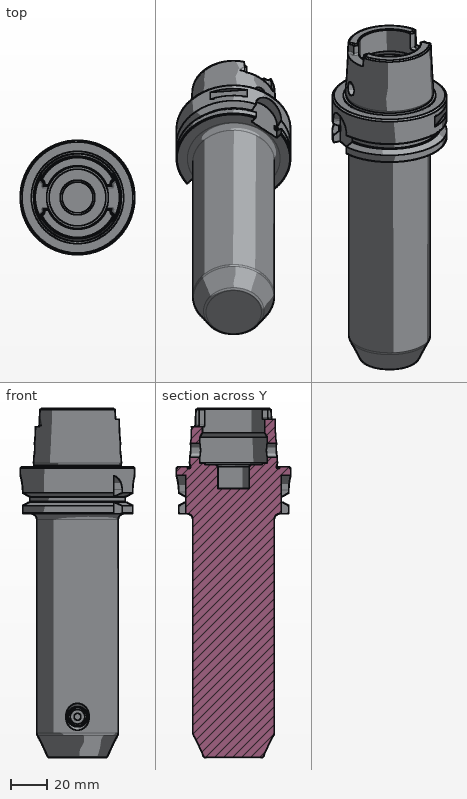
import cadquery as cq
import math

SHANK_TOP = 32.0
NOSE_END = -160.0
FLANGE_RADIUS = 31.5
FLANGE_BOTTOM = -26.0
BODY_RADIUS = 22.5
BODY_FILLET = 3.0

TAPER_RADIUS = 24.0
TAPER_GAUGE_HEIGHT = 6.3
TAPER_RATIO = 9.98
TAPER_START = 2.0
RELIEF_RADIUS = 24.0
RELIEF_TOP = 0.6
RELIEF_DEPTH = 1.0
FACE_GROOVE_RADIUS = 25.4
RIM_CHAMFER = 0.8
FLANGE_TOP_CHAMFER = 1.0
FLANGE_CHAMFER = 0.5

GROOVE_RADIUS = 27.25
GROOVE_CENTRE = -18.0
GROOVE_WIDTH = 7.0
GROOVE_FLANK_ANGLE = 30.0
GROOVE_FLANK_DEPTH = 3.5
GROOVE_FILLET = 0.3

NOSE_START = -146.9
NOSE_RADIUS = 16.2
NOSE_CORNER_FILLET = 1.5
NOSE_SHOULDER_FILLET = 3.0

BORE_RADIUS = 17.0
BORE_CHAMFER = 0.5
BORE_LIP_BOTTOM = 18.6
CHAMBER_RADIUS = 18.5
CHAMBER_FLARE = 30.0
CHAMBER_BOTTOM = 2.0
FLOOR_STEP_RADIUS = 15.6
FLOOR_STEP_DEPTH = 1.0
COOLANT_RADIUS = 8.5
COOLANT_CHAMFER = 1.1
COOLANT_BOTTOM = -12.0

KEYWAY_WIDTH = 12.5
KEYWAY_CORNER = 2.3
KEYWAY_LAND = 23.0
KEYWAY_LAND_LENGTH = 5.0
KEYWAY_FILLET = 1.0
KEYWAY_CHAMFER = 0.8
KEYWAY_CHAMFER_ANGLE = 45.0
LEFT_KEYWAY_FLOOR = 22.0
RIGHT_KEYWAY_FLOOR = 26.0

CROSS_HOLE_DIAMETER = 7.5
CROSS_HOLE_HEIGHT = 9.0

SLOT_TOP = -4.8
SLOT_FLOOR = 26.3
LEFT_SLOT_WIDTH = 18.0
RIGHT_SLOT_WIDTH = 16.0

NOTCH_CORNER = 19.8
NOTCH_RUNOUT_RADIUS = 8.3
NOTCH_RUNOUT_HEIGHT = -12.4
LABEL_ANGLE = 135.0
LABEL_FLAT_DISTANCE = 29.8
LABEL_TOP = -4.0
LABEL_BOTTOM = -10.0

SCREW_HEIGHT = -137.5
SCREW_HOLE_RADIUS = 7.4
SCREW_HOLE_CHAMFER = 1.8
SCREW_FACE_RADIUS = 5.0
SCREW_EDGE_CHAMFER = 0.6
SOCKET_RADIUS = 4.0
SOCKET_FLOOR_RADIUS = 1.9
SOCKET_DEPTH = 0.8

CLEARANCE = 10.0
MARGIN = 1.0


def taper_radius(height):
    """Shank radius at a height; TAPER_RATIO is the length per unit of diameter lost."""
    return TAPER_RADIUS - (height - TAPER_GAUGE_HEIGHT) / (2 * TAPER_RATIO)


def make_gripper_groove():
    """Ring cutter with sloping flanks above a narrow channel with rounded floor corners."""
    half_width = GROOVE_WIDTH / 2
    step_radius = FLANGE_RADIUS - GROOVE_FLANK_DEPTH
    half_floor = half_width - GROOVE_FLANK_DEPTH * math.tan(math.radians(GROOVE_FLANK_ANGLE))
    outer = FLANGE_RADIUS + CLEARANCE
    ring = (
        cq.Workplane("XZ", origin=(0, 0, GROOVE_CENTRE))
        .moveTo(GROOVE_RADIUS, -half_floor)
        .lineTo(GROOVE_RADIUS, half_floor)
        .lineTo(step_radius, half_floor)
        .lineTo(FLANGE_RADIUS, half_width)
        .lineTo(outer, half_width)
        .lineTo(outer, -half_width)
        .lineTo(FLANGE_RADIUS, -half_width)
        .lineTo(step_radius, -half_floor)
        .close()
        .revolve(360, (0, 0, 0), (0, 1, 0))
    )
    return ring.edges(cq.selectors.RadiusNthSelector(0)).fillet(GROOVE_FILLET)


def make_body():
    """Turned outside of the whole part, with the gripper groove."""
    relief_middle = (RELIEF_RADIUS + FACE_GROOVE_RADIUS) / 2
    profile = (
        cq.Workplane("XZ")
        .moveTo(0, NOSE_END)
        .lineTo(NOSE_RADIUS, NOSE_END)
        .lineTo(BODY_RADIUS, NOSE_START)
        .lineTo(BODY_RADIUS, FLANGE_BOTTOM - BODY_FILLET)
        .radiusArc((BODY_RADIUS + BODY_FILLET, FLANGE_BOTTOM), BODY_FILLET)
        .lineTo(FLANGE_RADIUS - FLANGE_CHAMFER, FLANGE_BOTTOM)
        .lineTo(FLANGE_RADIUS, FLANGE_BOTTOM + FLANGE_CHAMFER)
        .lineTo(FLANGE_RADIUS, -FLANGE_TOP_CHAMFER)
        .lineTo(FLANGE_RADIUS - FLANGE_TOP_CHAMFER, 0)
        .lineTo(FACE_GROOVE_RADIUS, 0)
        .threePointArc((relief_middle, -RELIEF_DEPTH), (RELIEF_RADIUS, RELIEF_TOP))
        .lineTo(taper_radius(TAPER_START), TAPER_START)
        .lineTo(taper_radius(SHANK_TOP - RIM_CHAMFER), SHANK_TOP - RIM_CHAMFER)
        .lineTo(taper_radius(SHANK_TOP) - RIM_CHAMFER, SHANK_TOP)
        .lineTo(0, SHANK_TOP)
        .close()
    )
    body = profile.revolve(360, (0, 0, 0), (0, 1, 0))
    body = body.cut(make_gripper_groove())
    size = BODY_RADIUS + MARGIN
    zone_low = (-size, -size, NOSE_START - MARGIN)
    zone_high = (size, size, NOSE_START + MARGIN)
    nose_zone = cq.selectors.BoxSelector(zone_low, zone_high)
    body = body.edges(nose_zone).edges("%CIRCLE").fillet(NOSE_SHOULDER_FILLET)
    return body.faces("<Z").edges().fillet(NOSE_CORNER_FILLET)


def make_bore():
    """Clamping chamber widening below its lip, and the blind coolant hole in its floor."""
    flare = (CHAMBER_RADIUS - BORE_RADIUS) / math.tan(math.radians(CHAMBER_FLARE))
    floor = CHAMBER_BOTTOM - FLOOR_STEP_DEPTH
    profile = (
        cq.Workplane("XZ")
        .moveTo(0, SHANK_TOP)
        .lineTo(BORE_RADIUS + BORE_CHAMFER, SHANK_TOP)
        .lineTo(BORE_RADIUS, SHANK_TOP - BORE_CHAMFER)
        .lineTo(BORE_RADIUS, BORE_LIP_BOTTOM)
        .lineTo(CHAMBER_RADIUS, BORE_LIP_BOTTOM - flare)
        .lineTo(CHAMBER_RADIUS, CHAMBER_BOTTOM)
        .lineTo(FLOOR_STEP_RADIUS, CHAMBER_BOTTOM)
        .lineTo(FLOOR_STEP_RADIUS, floor)
        .lineTo(COOLANT_RADIUS + COOLANT_CHAMFER, floor)
        .lineTo(COOLANT_RADIUS, floor - COOLANT_CHAMFER)
        .lineTo(COOLANT_RADIUS, COOLANT_BOTTOM)
        .lineTo(0, COOLANT_BOTTOM)
        .close()
    )
    return profile.revolve(360, (0, 0, 0), (0, 1, 0))


def keyway_outline(height):
    """Plan outline of the +X keyway: side walls, rounded corners and oblique lands beyond them."""
    half = KEYWAY_WIDTH / 2
    outer = TAPER_RADIUS + CLEARANCE
    corner_reach = KEYWAY_LAND - KEYWAY_CORNER
    corner_y = half + KEYWAY_CORNER
    land_angle = math.asin(corner_y / corner_reach)
    corner_x = corner_reach * math.cos(land_angle)
    land_x = KEYWAY_LAND * math.cos(land_angle)
    land_y = KEYWAY_LAND * math.sin(land_angle)
    end_x = land_x - KEYWAY_LAND_LENGTH * math.sin(land_angle)
    end_y = land_y + KEYWAY_LAND_LENGTH * math.cos(land_angle)
    return (
        cq.Workplane("XY", origin=(0, 0, height))
        .moveTo(CLEARANCE, -half)
        .lineTo(corner_x, -half)
        .radiusArc((land_x, -land_y), -KEYWAY_CORNER)
        .lineTo(end_x, -end_y)
        .lineTo(outer, -end_y)
        .lineTo(outer, end_y)
        .lineTo(end_x, end_y)
        .lineTo(land_x, land_y)
        .radiusArc((corner_x, half), -KEYWAY_CORNER)
        .lineTo(CLEARANCE, half)
        .close()
    )


def make_keyway(side, floor):
    """Cutter for one rim keyway; side is +1 for +X and -1 for -X."""
    cutter = keyway_outline(floor).extrude(SHANK_TOP - floor)
    cutter = cutter.faces("<Z").edges("not(>X or <X)").edges("not(>Y or <Y)").fillet(KEYWAY_FILLET)
    flare = keyway_outline(SHANK_TOP - KEYWAY_CHAMFER).extrude(KEYWAY_CHAMFER, taper=-KEYWAY_CHAMFER_ANGLE)
    cutter = cutter.union(flare)
    return cutter if side > 0 else cutter.mirror("YZ")


def make_drive_slot(side, width):
    """Cutter for one flange drive slot with a round upper end."""
    radius = width / 2
    bottom = FLANGE_BOTTOM - MARGIN
    cutter = (
        cq.Workplane("YZ")
        .workplane(offset=SLOT_FLOOR)
        .moveTo(-radius, bottom)
        .lineTo(-radius, SLOT_TOP - radius)
        .threePointArc((0, SLOT_TOP), (radius, SLOT_TOP - radius))
        .lineTo(radius, bottom)
        .close()
        .extrude(CLEARANCE)
    )
    return cutter if side > 0 else cutter.mirror("YZ")


def make_notch():
    """Square-cornered notch on the +X -Y side with a curved upper runout."""
    bottom = FLANGE_BOTTOM - MARGIN
    centre = -NOTCH_CORNER - NOTCH_RUNOUT_RADIUS
    return (
        cq.Workplane("YZ")
        .workplane(offset=NOTCH_CORNER)
        .moveTo(-NOTCH_CORNER, bottom)
        .lineTo(-NOTCH_CORNER, NOTCH_RUNOUT_HEIGHT)
        .radiusArc((centre, NOTCH_RUNOUT_HEIGHT + NOTCH_RUNOUT_RADIUS), -NOTCH_RUNOUT_RADIUS)
        .lineTo(centre, bottom)
        .close()
        .extrude(CLEARANCE)
    )


def make_label_flat():
    """Flat cut across the flange rim on its -X +Y side."""
    height = LABEL_TOP - LABEL_BOTTOM
    return (
        cq.Workplane("XY")
        .box(CLEARANCE, 2 * FLANGE_RADIUS, height, centered=(False, True, False))
        .translate((LABEL_FLAT_DISTANCE, 0, LABEL_BOTTOM))
        .rotate((0, 0, 0), (0, 0, 1), LABEL_ANGLE)
    )


def make_cross_hole():
    """Hole along X through both shank walls."""
    return (
        cq.Workplane("YZ")
        .center(0, CROSS_HOLE_HEIGHT)
        .circle(CROSS_HOLE_DIAMETER / 2)
        .extrude(TAPER_RADIUS + CLEARANCE, both=True)
    )


def make_screw_recess():
    """Chamfered screw hole entered from -Y, around a screw face with a conical socket."""
    gap_radius = SCREW_HOLE_RADIUS - SCREW_HOLE_CHAMFER
    gap = BODY_RADIUS - SCREW_HOLE_CHAMFER
    face = gap + SCREW_EDGE_CHAMFER
    socket_floor = face - SOCKET_DEPTH
    outer = BODY_RADIUS + SCREW_HOLE_CHAMFER
    recess = (
        cq.Workplane("XY")
        .moveTo(0, -outer)
        .lineTo(SCREW_HOLE_RADIUS + SCREW_HOLE_CHAMFER, -outer)
        .lineTo(gap_radius, -gap)
        .lineTo(SCREW_FACE_RADIUS, -face)
        .lineTo(SOCKET_RADIUS, -face)
        .lineTo(SOCKET_FLOOR_RADIUS, -socket_floor)
        .lineTo(0, -socket_floor)
        .close()
        .revolve(360, (0, 0, 0), (0, 1, 0))
    )
    return recess.translate((0, 0, SCREW_HEIGHT))


result = make_body().rotate((0, 0, 0), (0, 0, 1), -90)
result = result.cut(make_drive_slot(1, RIGHT_SLOT_WIDTH))
result = result.cut(make_drive_slot(-1, LEFT_SLOT_WIDTH))
result = result.cut(make_notch())
result = result.cut(make_label_flat())
result = result.cut(make_screw_recess())
result = result.cut(make_bore())
result = result.cut(make_keyway(-1, LEFT_KEYWAY_FLOOR))
result = result.cut(make_keyway(1, RIGHT_KEYWAY_FLOOR))
result = result.cut(make_cross_hole())